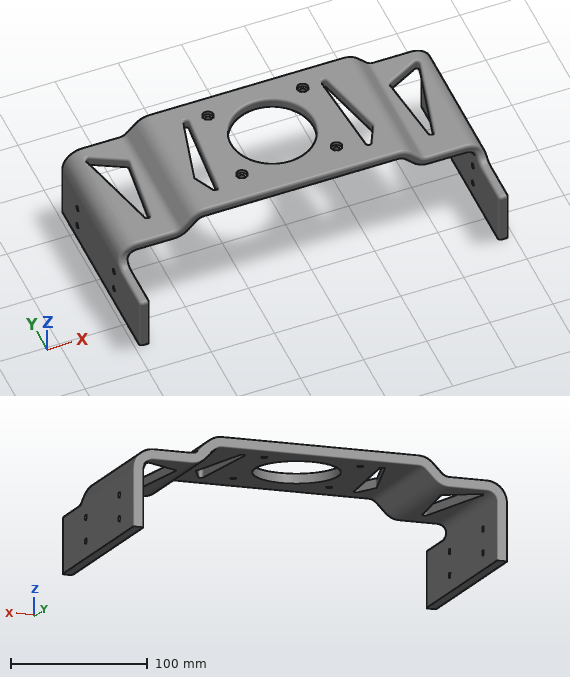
import cadquery as cq
import math

thickness = 8.0
inner_bend_radius = 8.0
outer_bend_radius = inner_bend_radius + thickness
depth = 150.0
web_depth = 106.0
leg_inner_height = 52.0

deck_half_width = 80.0
slope_length = 20.0
slope_angle = math.radians(45)
shoulder_width = 44.0

slope_run = slope_length * math.cos(slope_angle)
slope_rise = slope_length * math.sin(slope_angle)
slope_end_x = deck_half_width + slope_run
leg_inner_x = slope_end_x + shoulder_width
leg_outer_x = leg_inner_x + thickness
shoulder_top_z = leg_inner_height + thickness
deck_bottom_z = leg_inner_height + slope_rise
deck_top_z = deck_bottom_z + thickness
slope_corner_shift = thickness * math.tan(slope_angle / 2)

bore_to_back = 50.0
back_y = bore_to_back
leg_front_y = back_y - depth
web_front_y = back_y - web_depth

arm_height = 44.0
notch_radius = 10.0

front_fillet = 2.5
back_fillet = 1.0
opening_fillet = 2.0
rim_clearance = 5.0

bore_diameter = 65.0
screw_diameter = 4.5
screw_head_diameter = 8.5
screw_head_depth = 3.0
screw_spacing_x = 75.0
screw_spacing_y = 65.0
leg_hole_diameter = 4.0
leg_hole_distances = (30.0, 100.0)
leg_hole_heights = (13.0, 31.0)
slot_corner_radius = 2.0

deck_slot = [(54.7, 32.6), (68.5, -21.7), (60.8, -37.2)]
shoulder_slot = [(129.8, 37.2), (105.5, 24.4), (112.4, -32.1)]


def box(half_width, y_range, z_range):
    """Selector for edges whose centre lies in a box symmetric about X = 0."""
    margin = 0.1
    return cq.selectors.BoxSelector(
        (-half_width - margin, y_range[0] - margin, z_range[0] - margin),
        (half_width + margin, y_range[1] + margin, z_range[1] + margin),
    )


def bent_sheet():
    """Constant-thickness bent profile extruded along Y."""
    right_top = [
        (deck_half_width + slope_corner_shift, deck_top_z),
        (slope_end_x + slope_corner_shift, shoulder_top_z),
        (leg_outer_x, shoulder_top_z),
        (leg_outer_x, 0),
    ]
    right_bottom = [
        (leg_inner_x, 0),
        (leg_inner_x, leg_inner_height),
        (slope_end_x, leg_inner_height),
        (deck_half_width, deck_bottom_z),
    ]
    right = right_top + right_bottom
    top_left = [(-x, z) for x, z in reversed(right_top)]
    bottom_left = [(-x, z) for x, z in reversed(right_bottom)]
    outline = right + bottom_left + top_left
    sheet = (
        cq.Workplane("XZ", origin=(0, back_y, 0))
        .polyline(outline)
        .close()
        .extrude(depth)
    )
    outer_bends = []
    inner_bends = []
    for side in (-1, 1):
        outer_bends += [(side * x, z) for x, z in (right_top[0], right_top[2], right_bottom[2])]
        inner_bends += [(side * x, z) for x, z in (right_top[1], right_bottom[1], right_bottom[3])]
    for points, radius in ((outer_bends, outer_bend_radius), (inner_bends, inner_bend_radius)):
        for x, z in points:
            edge = cq.selectors.NearestToPointSelector((x, back_y - depth / 2, z))
            sheet = sheet.edges("|Y").edges(edge).fillet(radius)
    return sheet


def notch_front(sheet):
    """Cut the bridge back from the leg fronts, leaving a low arm on each leg."""
    cutter = (
        cq.Workplane("YZ", origin=(-leg_outer_x, 0, 0))
        .moveTo(leg_front_y, arm_height)
        .lineTo(web_front_y - notch_radius, arm_height)
        .radiusArc((web_front_y, arm_height + notch_radius), -notch_radius)
        .lineTo(web_front_y, deck_top_z)
        .lineTo(leg_front_y, deck_top_z)
        .close()
        .extrude(2 * leg_outer_x)
    )
    return sheet.cut(cutter)


def round_front_edges(sheet):
    """Round the front rim from one leg foot to the other, including the arm tips."""
    front_rim = box(leg_outer_x, (leg_front_y, web_front_y), (1, deck_top_z))
    arm_tips = box(leg_outer_x, (leg_front_y, leg_front_y), (arm_height, arm_height))
    long_edges = sheet.edges("not |X").edges(front_rim)
    tip_edges = sheet.edges("|X").edges(arm_tips)
    return long_edges.add(tip_edges).fillet(front_fillet)


def round_back_edges(sheet):
    """Round both long edges of the back rim, leaving the leg feet sharp."""
    back_rim = box(leg_outer_x, (back_y, back_y), (1, deck_top_z))
    return sheet.faces(">Y").edges(back_rim).fillet(back_fillet)


def cut_bore(sheet):
    """Central round opening through the deck."""
    cutter = cq.Workplane("XY").circle(bore_diameter / 2).extrude(2 * deck_top_z)
    return sheet.cut(cutter)


def slot_cutter(corner_centres):
    """Vertical triangular prism with rounded corners, passing through the bridge."""
    return (
        cq.Workplane("XY")
        .polyline(corner_centres)
        .close()
        .offset2D(slot_corner_radius)
        .extrude(2 * deck_top_z)
    )


def cut_slots(sheet):
    """Mirrored pairs of triangular slots in the deck and in the shoulders."""
    for corner_centres in (deck_slot, shoulder_slot):
        cutter = slot_cutter(corner_centres)
        sheet = sheet.cut(cutter).cut(cutter.mirror("YZ"))
    return sheet


def round_openings(sheet):
    """Round the upper edges of the bore and of all four slots."""
    inside_rims = (web_front_y + rim_clearance, back_y - rim_clearance)
    for top_z in (shoulder_top_z, deck_top_z):
        upper_edges = box(leg_outer_x, inside_rims, (top_z, top_z))
        sheet = sheet.edges("not |Y").edges(upper_edges).fillet(opening_fillet)
    return sheet


def drill_screw_holes(sheet):
    """Counterbored holes around the bore."""
    return (
        sheet.copyWorkplane(cq.Workplane("XY", origin=(0, 0, deck_top_z)))
        .rarray(screw_spacing_x, screw_spacing_y, 2, 2)
        .cboreHole(screw_diameter, screw_head_diameter, screw_head_depth, 2 * thickness)
    )


def drill_leg_holes(sheet):
    """Plain holes through both legs."""
    points = [(back_y - distance, z) for distance in leg_hole_distances for z in leg_hole_heights]
    cutter = (
        cq.Workplane("YZ", origin=(-leg_outer_x, 0, 0))
        .pushPoints(points)
        .circle(leg_hole_diameter / 2)
        .extrude(2 * leg_outer_x)
    )
    return sheet.cut(cutter)


result = bent_sheet()
result = notch_front(result)
result = round_front_edges(result)
result = round_back_edges(result)
result = cut_bore(result)
result = cut_slots(result)
result = round_openings(result)
result = drill_screw_holes(result)
result = drill_leg_holes(result)